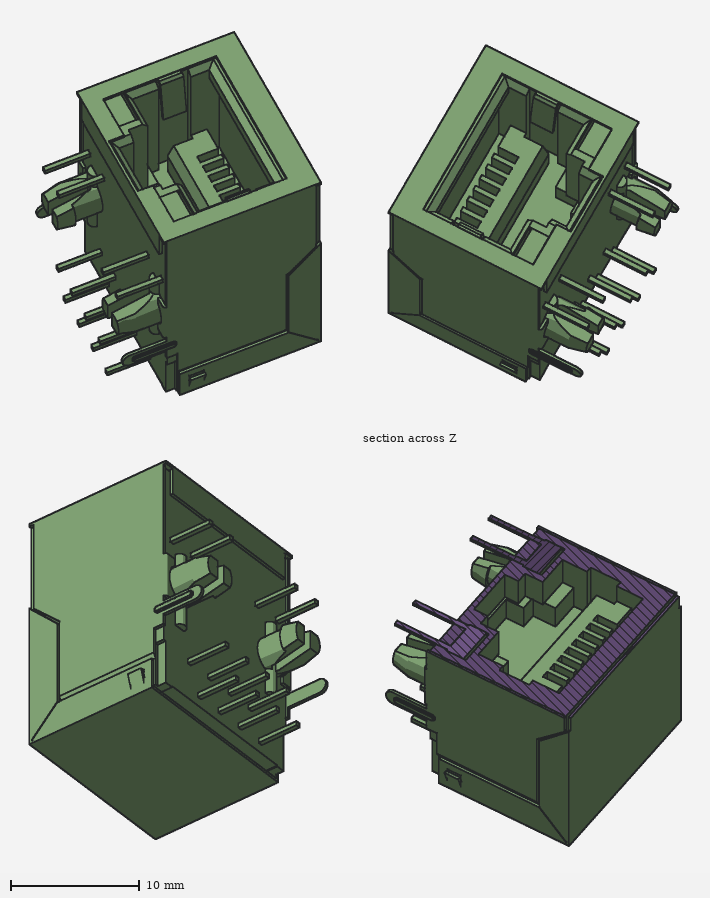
import cadquery as cq

sheet = 0.25
shield_half_width = 7.95
shield_height = 21.27
shield_back = 13.27
end_plate_front = 1.13
inner_half_width = shield_half_width - sheet
inner_top = shield_height - sheet

mouth_half_width = 6.47
mouth_bottom = 1.3
mouth_top = 11.02
latch_half_width = 2.64

flap_half_width = 7.08
flap_bottom = 18.57

side_back = 12.85
side_inset = 10.3
side_slope_top = 12.93
side_slope_bottom = 10.55
side_bottom = 2.87
side_bevel_top = 3.3
side_foot_bottom = 5.64
side_foot_back = 0.95

flange_inset = 10.49
flange_slope_top = 13.15
flange_slope_bottom = 10.42
flange_height = 2.8
seam_width = 0.06

window_y = (1.91, 3.21)
window_z = (0.87, 2.08)
hook_reach = 8.34
hook_top = 2.0

leg_z = 7.23
leg_width = 1.3
leg_tip = -3.79
bead_y = (-2.98, 0.8)
bead_width = 0.6
bead_height = 0.2

tab_z = (8.34, 12.42)
tab_edge = 6.85
bend_radius = 0.25

spring_y = (6.0, 7.98)
spring_bottom = 17.02
spring_reach = 5.42
spring_drop = 0.09

board_face = 0.17
housing_bottom = 0.35
foot_half_width = 7.42
foot_top = 4.34
relief_half_width = 6.64
relief_top = 0.45

plug_half_width = 5.93
plug_bottom = 3.55
plug_top = 10.17
lead_in_bottom = 3.13
lead_in_top = 10.76
lead_in_depth = 0.45
step_half_width = 3.13
step_bottom = 1.91
tongue_half_width = 2.17
tongue_bottom = 0.65
tongue_mouth_half_width = 2.7
tongue_lead_depth = 0.49

ledge_z = 11.91
floor_z = 9.78
comb_z = 12.76
comb_top = 9.98
comb_bottom = 6.95
comb_slope = 0.53
slot_width = 0.62
slot_bottom = 8.17
slot_pitch = 1.02
slot_count = 8
lip_bottom = 19.53
recess_back = 11.02
spring_slot_y = (5.83, 8.6)
spring_slot_inset = 5.6

peg_x = 5.76
peg_z = 10.38
peg_radius = 1.64
peg_tip_radius = 1.3
barb_radius = 1.9
barb_tip_radius = 1.7
peg_taper_start = -2.25
peg_tip = -3.72
peg_half_height = 1.62
peg_wedge_start = -0.25
peg_tip_half_height = 0.85
slit_x = 5.47
slit_width = 0.77
slit_top = -0.3
tab_clearance = 0.09
bar_x = 5.68
bar_radius = 0.55
bar_z = (6.6, 13.38)

pin_width = 0.4
pin_pitch = 1.28
pin_count = 8
pin_rows_z = (4.0, 1.47)
pin_tip = -3.57
pin_root = 0.43

led_x = 5.35
led_width = 3.23
led_y = (1.28, 2.85)
led_pocket_top = 3.05
led_bottom = 13.83
led_leg_pitch = 2.57
led_leg_z = 14.46
led_leg_tip = -3.7


def block(x, y, z):
    """Box spanning the given (low, high) pairs."""
    size = (x[1] - x[0], y[1] - y[0], z[1] - z[0])
    return cq.Workplane("XY").box(*size, centered=False).translate((x[0], y[0], z[0]))


def wide(half_width, y, z):
    """Box centred on X = 0."""
    return block((-half_width, half_width), y, z)


def both_sides(shape):
    """The shape joined with its mirror image about X = 0."""
    return shape.union(shape.mirror("YZ"))


def side_sheet(outline):
    """Sheet in the +X wall of the shield, from an outline of (y, z) points."""
    return cq.Workplane("YZ").workplane(offset=inner_half_width).polyline(outline).close().extrude(sheet)


def along_y(outline, y):
    """Prism along Y from an outline of (x, z) points."""
    return cq.Workplane("XZ").workplane(offset=-y[1]).polyline(outline).close().extrude(y[1] - y[0])


def face_plate():
    plate = wide(shield_half_width, (-sheet, shield_back), (inner_top, shield_height))
    plate = plate.cut(wide(mouth_half_width, (mouth_bottom, mouth_top), (inner_top, shield_height)))
    plate = plate.cut(wide(latch_half_width, (0, mouth_bottom), (inner_top, shield_height)))
    return plate.union(wide(flap_half_width, (-sheet, 0), (flap_bottom, shield_height)))


def side_panel():
    panel = side_sheet([
        (0, inner_top),
        (side_back, inner_top),
        (side_back, side_slope_top),
        (side_inset, side_slope_bottom),
        (side_inset, side_bottom),
        (side_foot_back, side_bottom),
        (side_foot_back, side_foot_bottom),
        (0, side_foot_bottom),
    ])
    bevel = along_y(
        [
            (inner_half_width, side_bottom),
            (shield_half_width, side_bottom),
            (shield_half_width, side_bevel_top),
        ],
        (0, side_back),
    )
    return panel.cut(bevel)


def corner_flange():
    flange = side_sheet([
        (shield_back, 0),
        (shield_back, flange_slope_top),
        (flange_inset, flange_slope_bottom),
        (flange_inset, flange_height),
        (end_plate_front, flange_height),
        (end_plate_front, 0),
    ])
    seam = side_sheet([
        (shield_back - sheet, sheet),
        (flange_inset, flange_height),
        (flange_inset, flange_height + seam_width),
        (shield_back - sheet, sheet + seam_width),
    ])
    window = block((inner_half_width, shield_half_width), window_y, window_z)
    hook = along_y(
        [
            (inner_half_width, window_z[0] - seam_width),
            (shield_half_width, window_z[0] - seam_width),
            (hook_reach, hook_top),
            (hook_reach - sheet, hook_top),
        ],
        window_y,
    )
    return flange.cut(seam).cut(window).union(hook)


def ground_leg():
    tip_radius = leg_width / 2
    leg = (
        cq.Workplane("YZ").workplane(offset=inner_half_width)
        .moveTo(0, leg_z - tip_radius)
        .lineTo(leg_tip + tip_radius, leg_z - tip_radius)
        .threePointArc((leg_tip, leg_z), (leg_tip + tip_radius, leg_z + tip_radius))
        .lineTo(0, leg_z + tip_radius)
        .close()
        .extrude(sheet)
    )
    bead = block(
        (shield_half_width, shield_half_width + bead_height),
        bead_y,
        (leg_z - bead_width / 2, leg_z + bead_width / 2),
    )
    bead = bead.edges("|X").chamfer(bead_height)
    return leg.union(bead.faces(">X").chamfer(bead_height / 2))


def board_tab():
    tab = block((tab_edge, shield_half_width), (-sheet, 0), tab_z)
    root = block((inner_half_width, shield_half_width), (-sheet, sheet), tab_z)
    clearance = (
        cq.Workplane("XZ").center(peg_x, peg_z).circle(peg_radius + tab_clearance)
        .extrude(2 * sheet)
    )
    return tab.union(root).edges(">X and <Y").fillet(bend_radius).cut(clearance)


def contact_spring():
    return along_y(
        [
            (mouth_half_width, shield_height - spring_drop),
            (mouth_half_width - sheet, shield_height - spring_drop),
            (plug_half_width, inner_top),
            (spring_reach, spring_bottom),
            (spring_reach + sheet, spring_bottom),
            (plug_half_width + sheet, inner_top - sheet),
            (mouth_half_width, inner_top),
        ],
        spring_y,
    )


def make_shield():
    back_wall = wide(inner_half_width, (shield_back - sheet, shield_back), (0, shield_height))
    end_plate = wide(shield_half_width, (end_plate_front, shield_back), (0, sheet))
    shield = face_plate().union(back_wall).union(end_plate)
    for side_part in (side_panel, corner_flange, ground_leg, board_tab, contact_spring):
        shield = shield.union(both_sides(side_part()))
    return shield


def led_legs():
    legs = cq.Workplane("XY")
    for offset in (-led_leg_pitch / 2, led_leg_pitch / 2):
        x = led_x + offset
        legs = legs.union(block(
            (x - pin_width / 2, x + pin_width / 2),
            (led_leg_tip, led_y[0] + pin_width),
            (led_leg_z - pin_width / 2, led_leg_z + pin_width / 2),
        ))
    return legs


def led_block(top):
    return block((led_x - led_width / 2, led_x + led_width / 2), (led_y[0], top), (led_bottom, inner_top))


def make_led(side):
    led = led_block(led_y[1]).union(led_legs())
    return led if side > 0 else led.mirror("YZ")


def shell_block():
    shell = wide(inner_half_width, (board_face, side_back), (housing_bottom, inner_top))
    foot_step = block(
        (foot_half_width, inner_half_width), (board_face, side_foot_back), (housing_bottom, foot_top)
    )
    relief = wide(relief_half_width, (board_face, side_back), (housing_bottom, relief_top))
    return shell.cut(both_sides(foot_step)).cut(relief)


def lead_in():
    """Tapered mouth of the plug cavity."""
    return (
        cq.Workplane("XY").workplane(offset=inner_top)
        .center(0, (lead_in_bottom + lead_in_top) / 2)
        .rect(2 * mouth_half_width, lead_in_top - lead_in_bottom)
        .workplane(offset=-lead_in_depth)
        .center(0, (plug_bottom + plug_top - lead_in_bottom - lead_in_top) / 2)
        .rect(2 * plug_half_width, plug_top - plug_bottom)
        .loft()
    )


def tongue_lead_in():
    """Tapered mouth of the latch channel, open to the board face at the top."""
    return (
        cq.Workplane("XY").workplane(offset=inner_top)
        .center(0, (board_face + step_bottom) / 2)
        .rect(2 * tongue_mouth_half_width, step_bottom - board_face)
        .workplane(offset=-tongue_lead_depth)
        .center(0, (tongue_bottom - board_face) / 2)
        .rect(2 * tongue_half_width, step_bottom - tongue_bottom)
        .loft()
    )


def plug_cavity():
    shoulder = (ledge_z, inner_top)
    cavity = wide(plug_half_width, (plug_bottom, plug_top), shoulder)
    cavity = cavity.union(wide(step_half_width, (step_bottom, plug_bottom), shoulder))
    cavity = cavity.union(wide(tongue_half_width, (tongue_bottom, step_bottom), shoulder))
    return cavity.union(lead_in()).union(tongue_lead_in())


def deep_pocket():
    """Stepped well below the shoulder of the plug cavity."""
    depth = (floor_z, ledge_z)
    well = wide(plug_half_width, (4.6, plug_top), depth)
    well = well.union(wide(3.35, (2.5, 4.6), depth))
    return well.union(wide(2.0, (0.87, 2.5), depth))


def contact_comb():
    comb = (
        cq.Workplane("YZ").workplane(offset=-plug_half_width)
        .polyline([
            (comb_top, floor_z),
            (comb_top, comb_z),
            (comb_bottom, comb_z),
            (comb_bottom - comb_slope, comb_z - 2 * comb_slope),
            (comb_bottom - comb_slope, floor_z),
        ])
        .close()
        .extrude(2 * plug_half_width)
    )
    for i in range(slot_count):
        x = (i - (slot_count - 1) / 2) * slot_pitch
        comb = comb.cut(block(
            (x - slot_width / 2, x + slot_width / 2), (slot_bottom, comb_top), (floor_z, comb_z)
        ))
    return comb


def peg_nose(root_radius, tip_radius):
    """Tapered end of a board peg."""
    return (
        cq.Workplane("XZ").workplane(offset=-peg_taper_start).center(peg_x, peg_z)
        .circle(root_radius)
        .workplane(offset=peg_taper_start - peg_tip)
        .circle(tip_radius)
        .loft()
    )


def board_peg():
    """Slit peg with flattened, converging sides, an inner barb and its stand-off bar."""
    shank = (
        cq.Workplane("XZ").workplane(offset=-pin_root).center(peg_x, peg_z)
        .circle(peg_radius)
        .extrude(pin_root - peg_taper_start)
    )
    inner_half = block(
        (peg_x - barb_radius, slit_x),
        (peg_tip, peg_taper_start),
        (peg_z - barb_radius, peg_z + barb_radius),
    )
    barb = peg_nose(barb_radius, barb_tip_radius).intersect(inner_half)
    peg = shank.union(peg_nose(peg_radius, peg_tip_radius)).union(barb)
    wedge = (
        cq.Workplane("YZ").workplane(offset=peg_x - barb_radius)
        .polyline([
            (pin_root, peg_z - peg_half_height),
            (peg_wedge_start, peg_z - peg_half_height),
            (peg_tip, peg_z - peg_tip_half_height),
            (peg_tip, peg_z + peg_tip_half_height),
            (peg_wedge_start, peg_z + peg_half_height),
            (pin_root, peg_z + peg_half_height),
        ])
        .close()
        .extrude(2 * barb_radius)
    )
    slit_radius = slit_width / 2
    slit = (
        cq.Workplane("XY").workplane(offset=peg_z - peg_radius)
        .moveTo(slit_x - slit_radius, peg_tip)
        .lineTo(slit_x - slit_radius, slit_top - slit_radius)
        .threePointArc((slit_x, slit_top), (slit_x + slit_radius, slit_top - slit_radius))
        .lineTo(slit_x + slit_radius, peg_tip)
        .close()
        .extrude(2 * peg_radius)
    )
    bar = (
        cq.Workplane("XY").workplane(offset=bar_z[0]).center(bar_x, board_face)
        .circle(bar_radius)
        .extrude(bar_z[1] - bar_z[0])
    )
    return peg.intersect(wedge).cut(slit).union(bar)


def signal_pins():
    pins = cq.Workplane("XY")
    for i in range(pin_count):
        x = (i - (pin_count - 1) / 2) * pin_pitch
        z = pin_rows_z[i % len(pin_rows_z)]
        pins = pins.union(block(
            (x - pin_width / 2, x + pin_width / 2),
            (pin_tip, pin_root),
            (z - pin_width / 2, z + pin_width / 2),
        ))
    return pins


def make_housing():
    housing = shell_block().cut(plug_cavity()).cut(deep_pocket())
    housing = housing.cut(wide(plug_half_width, (plug_top, recess_back), (floor_z, lip_bottom)))
    housing = housing.union(contact_comb())
    spring_slot = block((spring_slot_inset, mouth_half_width), spring_slot_y, (floor_z, inner_top))
    led_pocket = led_block(led_pocket_top).union(led_legs())
    housing = housing.cut(both_sides(spring_slot)).cut(both_sides(led_pocket))
    return housing.union(both_sides(board_peg())).union(signal_pins())


shield = make_shield()
housing = make_housing()
leds = [make_led(side) for side in (-1, 1)]

result = cq.Compound.makeCompound([
    shield.val(),
    housing.val(),
    *[led.val() for led in leds],
])